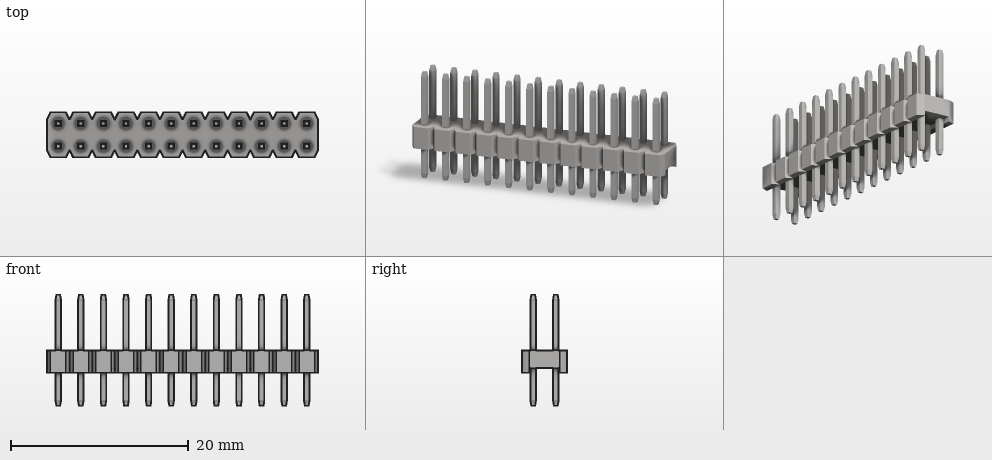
import cadquery as cq

pitch = 2.54
pins_per_row = 12
rows = 2

body_length = pins_per_row * pitch
body_width = rows * pitch
body_height = 2.54
notch_depth = 0.80
notch_half_width = 0.4

channel_width = 3.3
channel_depth = 0.55

pin_side = 0.64
pin_length = 12.5
pin_below_body = 3.71
tip_side = 0.44
tip_length = 0.58


def centred_positions(count):
    """Positions spaced one pitch apart and centred on zero."""
    return [(i - (count - 1) / 2) * pitch for i in range(count)]


def make_notch(notch_x, side):
    """Full-height triangular cutter on the -Y (-1) or +Y (1) face, pointing into the body."""
    outer_y = side * body_width / 2
    tip_y = outer_y - side * notch_depth
    return (
        cq.Workplane("XY")
        .moveTo(notch_x - notch_half_width, outer_y)
        .lineTo(notch_x + notch_half_width, outer_y)
        .lineTo(notch_x, tip_y)
        .close()
        .extrude(body_height)
    )


def make_body():
    """Block with V notches between the pin columns and the same slopes at its corners."""
    body = cq.Workplane("XY").box(body_length, body_width, body_height, centered=(True, True, False))
    for notch_x in centred_positions(pins_per_row + 1):
        for side in (-1, 1):
            body = body.cut(make_notch(notch_x, side))
    return body


def make_channel():
    """Cutter for the channel that runs the full length of the underside."""
    return cq.Workplane("XY").box(body_length, channel_width, channel_depth, centered=(True, True, False))


def make_tip(direction):
    """Tapered pin end that starts at Z = 0 and points up (1) or down (-1)."""
    return (
        cq.Workplane("XY")
        .rect(pin_side, pin_side)
        .workplane(offset=direction * tip_length)
        .rect(tip_side, tip_side)
        .loft(ruled=True)
    )


def make_pin():
    """Square pin with a tapered tip at both ends."""
    shank_bottom = tip_length - pin_below_body
    shank_length = pin_length - 2 * tip_length
    shank = (
        cq.Workplane("XY")
        .box(pin_side, pin_side, shank_length, centered=(True, True, False))
        .translate((0, 0, shank_bottom))
    )
    lower_tip = make_tip(-1).translate((0, 0, shank_bottom))
    upper_tip = make_tip(1).translate((0, 0, shank_bottom + shank_length))
    return shank.union(lower_tip).union(upper_tip)


result = make_body().cut(make_channel())
pin = make_pin()
for pin_x in centred_positions(pins_per_row):
    for pin_y in centred_positions(rows):
        result = result.union(pin.translate((pin_x, pin_y, 0)))